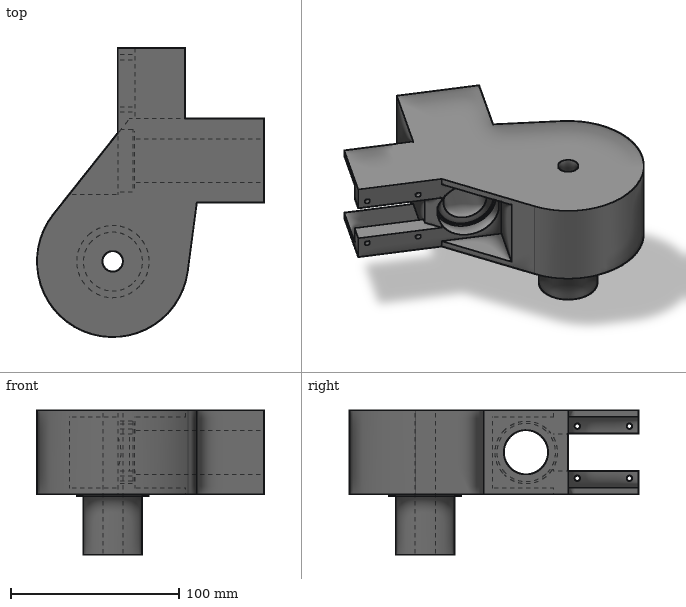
import cadquery as cq
import math

hub_radius = 45.0
body_height = 50.0
mid_height = body_height / 2
branch_end_x = 89.9
branch_back_y = 85.0
branch_front_y = branch_back_y - body_height
branch_root_x = 50.0

arm_left_x = 3.0
arm_width = 40.0
arm_start_y = 76.2
motor_size = 42.0
arm_end_y = branch_back_y + motor_size
motor_plate_thickness = 10.3
motor_slot_width = 22.0
screw_spacing = 31
screw_diameter = 3.1

pocket_front_y = 39.9

bore_center_y = branch_back_y - body_height / 2
bearing_radius = 18.5
bearing_depth = 9.0
shoulder_radius = 17.4
shoulder_depth = 10.0
bore_radius = 13.0

shaft_radius = 17.5
shaft_length = 36.0
collar_radius = 21.5
collar_thickness = 1.0
hub_hole_radius = 6.0

floor_z = (body_height - motor_size) / 2


def tangent_point(x, y, side):
    """Point where a line from (x, y) touches the hub; side is +1 or -1."""
    angle = math.atan2(y, x) + side * math.acos(hub_radius / math.hypot(x, y))
    return hub_radius * math.cos(angle), hub_radius * math.sin(angle)


def box(x0, x1, y0, y1, z0, z1):
    """Box between the given limits."""
    return cq.Workplane("XY").box(x1 - x0, y1 - y0, z1 - z0, centered=False).translate((x0, y0, z0))


def make_body():
    left_x, left_y = tangent_point(arm_left_x, arm_start_y, 1)
    right_tangent = tangent_point(branch_root_x, branch_front_y, -1)
    flank_run = (arm_left_x - left_x) / (arm_start_y - left_y)
    flank_end_x = arm_left_x + flank_run * (branch_back_y - arm_start_y)
    return (
        cq.Workplane("XY")
        .moveTo(left_x, left_y)
        .lineTo(flank_end_x, branch_back_y)
        .lineTo(branch_end_x, branch_back_y)
        .lineTo(branch_end_x, branch_front_y)
        .lineTo(branch_root_x, branch_front_y)
        .lineTo(*right_tangent)
        .threePointArc((0, -hub_radius), (left_x, left_y))
        .close()
        .extrude(body_height)
    )


def make_motor_arm():
    right_x = arm_left_x + arm_width
    plate_back_x = arm_left_x + motor_plate_thickness
    arm = box(arm_left_x, right_x, arm_start_y, arm_end_y, 0, body_height)
    motor_bay = box(plate_back_x, right_x, branch_back_y, arm_end_y, floor_z, floor_z + motor_size)
    slot = box(
        arm_left_x, right_x, arm_start_y, arm_end_y,
        mid_height - motor_slot_width / 2, mid_height + motor_slot_width / 2,
    )
    screws = (
        cq.Workplane("YZ", origin=(arm_left_x, arm_end_y - motor_size / 2, mid_height))
        .rect(screw_spacing, screw_spacing, forConstruction=True)
        .vertices()
        .circle(screw_diameter / 2)
        .extrude(arm_width)
    )
    return arm.cut(motor_bay).cut(slot).cut(screws)


def make_bore():
    """Bore along X, with the bearing seat and its relief opening towards -X."""
    seat = cq.Workplane("YZ", origin=(arm_left_x, bore_center_y, mid_height))
    bore = seat.circle(bore_radius).extrude(branch_end_x - arm_left_x)
    relief = seat.circle(shoulder_radius).extrude(shoulder_depth)
    bearing = seat.circle(bearing_radius).extrude(bearing_depth)
    return bore.union(relief).union(bearing)


def make_shaft():
    collar = cq.Workplane("XY").circle(collar_radius).extrude(-collar_thickness)
    return collar.union(cq.Workplane("XY").circle(shaft_radius).extrude(-shaft_length))


bearing_pocket = box(-hub_radius, arm_left_x, pocket_front_y, arm_start_y, floor_z, floor_z + motor_size)
hub_hole = (
    cq.Workplane("XY", origin=(0, 0, -shaft_length))
    .circle(hub_hole_radius)
    .extrude(shaft_length + body_height)
)

result = (
    make_body()
    .union(make_motor_arm())
    .cut(bearing_pocket)
    .cut(make_bore())
    .union(make_shaft())
    .cut(hub_hole)
)